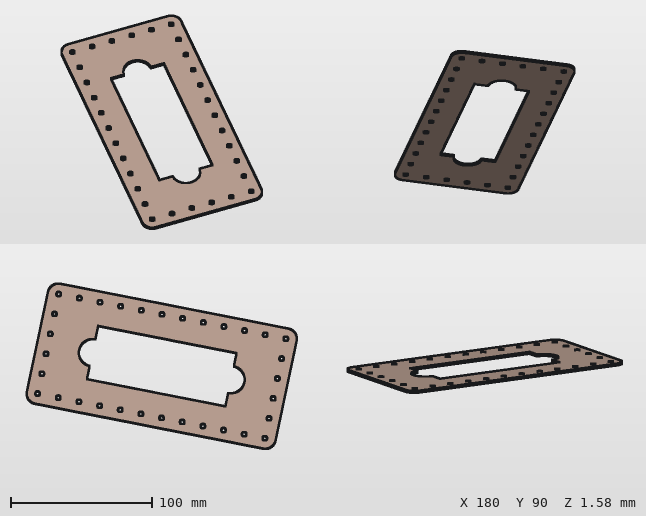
import cadquery as cq

plate_length = 180.0
plate_width = 90.0
plate_thickness = 1.58
corner_radius = 7.5

hole_diameter = 3.2
holes_along_length = 12
holes_along_width = 6
hole_pitch = 15.0

window_length = 100.0
window_width = 40.0
lobe_radius = 10.0
lobe_spacing = 99.4


def make_plate():
    plate = cq.Workplane("XY").box(plate_length, plate_width, plate_thickness)
    return plate.edges("|Z").fillet(corner_radius)


def cut_window(plate):
    lobe_centers = [(-lobe_spacing / 2, 0), (lobe_spacing / 2, 0)]
    plate = plate.faces(">Z").workplane().rect(window_length, window_width).cutThruAll()
    return plate.faces(">Z").workplane().pushPoints(lobe_centers).circle(lobe_radius).cutThruAll()


def border_points():
    """Grid points on the outermost rows and columns only."""
    points = []
    for column in range(holes_along_length):
        for row in range(holes_along_width):
            if column in (0, holes_along_length - 1) or row in (0, holes_along_width - 1):
                x = (column - (holes_along_length - 1) / 2) * hole_pitch
                y = (row - (holes_along_width - 1) / 2) * hole_pitch
                points.append((x, y))
    return points


def drill_border_holes(plate):
    return plate.faces(">Z").workplane().pushPoints(border_points()).hole(hole_diameter)


result = drill_border_holes(cut_window(make_plate()))